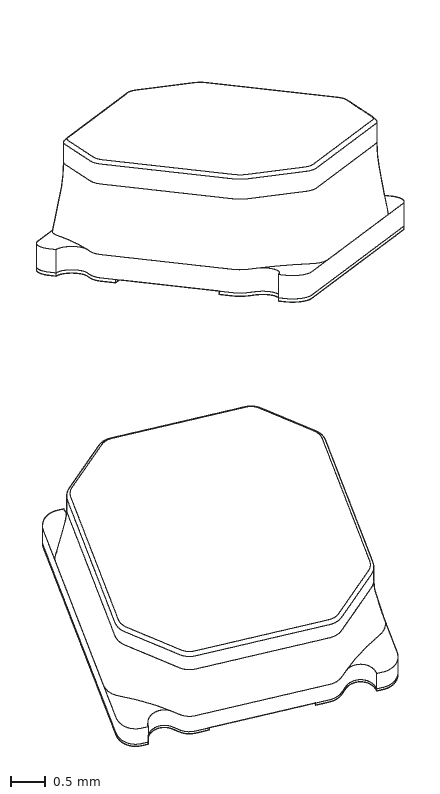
import cadquery as cq
import math

length = 4.2
total_height = 1.8

pad_height = 0.05
plate_top = 0.4
skirt_top = 1.455

cap_width = 3.855
corner_cut = 0.802
edge_radius = 0.295
top_chamfer = 0.05

flare_bend_height = 0.41
flare_steps = 5

plate_corner_radius = 0.295
notch_radius = 0.24

pad_width = 1.305

half_length = length / 2
cap_half = cap_width / 2
skirt_height = skirt_top - plate_top
diagonal = math.sqrt(0.5)

cut_x = cap_half - corner_cut
cut_y = half_length - corner_cut

notch_x = cut_x + notch_radius / diagonal
notch_end_x = notch_x - notch_radius * diagonal
notch_end_y = half_length - notch_radius * diagonal

side_end_y = cut_y - edge_radius * math.tan(math.pi / 8)
cut_low_x = cap_half - edge_radius * (1 - diagonal)

bend_x = (notch_end_x + cut_low_x) / 2
bend_y = cut_x + half_length - bend_x


def block(width, height, base_z):
    """Rectangular block over the full length in Y, centred on the Z axis."""
    return cq.Workplane("XY", origin=(0, 0, base_z)).rect(width, length).extrude(height)


def octagon(height, base_z):
    """Octagonal prism with rounded upright edges."""
    corner_points = [
        (cap_half, -cut_y), (cap_half, cut_y), (cut_x, half_length), (-cut_x, half_length),
        (-cap_half, cut_y), (-cap_half, -cut_y), (-cut_x, -half_length), (cut_x, -half_length),
    ]
    prism = cq.Workplane("XY", origin=(0, 0, base_z)).polyline(corner_points).close().extrude(height)
    return prism.edges("|Z").fillet(edge_radius)


def notch_cutter(height, base_z, sign_x, sign_y):
    """Cutter for one notch: its arc, and the short stretch of corner cut that leads into it."""
    arc_angle = 3 * math.pi / 8
    arc_middle_x = notch_x + notch_radius * math.cos(arc_angle)
    arc_middle_y = half_length - notch_radius * math.sin(arc_angle)
    return (
        cq.Workplane("XY", origin=(0, 0, base_z))
        .moveTo(sign_x * cut_x, sign_y * half_length)
        .lineTo(sign_x * notch_end_x, sign_y * notch_end_y)
        .threePointArc(
            (sign_x * arc_middle_x, sign_y * arc_middle_y),
            (sign_x * (notch_x + notch_radius), sign_y * half_length),
        )
        .close()
        .extrude(height)
    )


def notched_slab(height, base_z):
    """Square slab with rounded corners and a notch beside each of them."""
    slab = block(length, height, base_z).edges("|Z").fillet(plate_corner_radius)
    for sign_x in (-1, 1):
        for sign_y in (-1, 1):
            slab = slab.cut(notch_cutter(height, base_z, sign_x, sign_y))
    cut_edges = slab.edges("|Z").filter(lambda edge: math.isclose(abs(edge.Center().x), cut_x))
    return cut_edges.fillet(edge_radius)


def make_pad(sign_x):
    """Thin pad under one X end of the plate, following the plate outline."""
    end_block = block(pad_width, pad_height, 0).translate((sign_x * (half_length - pad_width / 2), 0, 0))
    return notched_slab(pad_height, 0).intersect(end_block)


def make_plate():
    """Base plate that carries the skirt."""
    return notched_slab(plate_top - pad_height, pad_height)


def flare_offset(drop):
    """Outward offset of the X side at a drop below the skirt top: a parabola, then its tangent."""
    slope = (half_length - cap_half) / (skirt_height - flare_bend_height / 2)
    if drop < flare_bend_height:
        return slope * drop**2 / (2 * flare_bend_height)
    return slope * (drop - flare_bend_height / 2)


def flare_section(drop):
    """Horizontal outline of the +X flare at a drop below the skirt top."""
    side_x = cap_half + flare_offset(drop)
    z = skirt_top - drop

    centre_x = side_x - edge_radius
    bend_distance = math.hypot(bend_x - centre_x, bend_y - side_end_y)
    bend_angle = math.atan2(bend_y - side_end_y, bend_x - centre_x)
    turn = bend_angle - math.acos(edge_radius / bend_distance)

    def point(x, y):
        return cq.Vector(x, y, z)

    def rounded_edge_point(angle, sign_y):
        x = centre_x + edge_radius * math.cos(angle)
        y = side_end_y + edge_radius * math.sin(angle)
        return point(x, sign_y * y)

    def corner_edges(sign_y):
        """Curve leaving the corner cut, and the rounded edge that joins it to the X side."""
        turn_end = rounded_edge_point(turn, sign_y)
        cut_curve = cq.Edge.makeBezier(
            [point(notch_end_x, sign_y * notch_end_y), point(bend_x, sign_y * bend_y), turn_end]
        )
        rounded_edge = cq.Edge.makeThreePointArc(
            turn_end, rounded_edge_point(turn / 2, sign_y), point(side_x, sign_y * side_end_y)
        )
        return [cut_curve, rounded_edge]

    side = cq.Edge.makeLine(point(side_x, side_end_y), point(side_x, -side_end_y))
    inner = cq.Edge.makeLine(point(notch_end_x, -notch_end_y), point(notch_end_x, notch_end_y))
    return cq.Wire.assembleEdges([*corner_edges(1), side, *reversed(corner_edges(-1)), inner])


def make_skirt():
    """Straight middle between the notches, with a flare lofted onto each X end."""
    middle = octagon(skirt_height, plate_top).intersect(block(2 * notch_end_x, skirt_height, plate_top))
    drops = [skirt_height * step / flare_steps for step in range(flare_steps + 1)]
    flare = cq.Workplane(cq.Solid.makeLoft([flare_section(drop) for drop in drops]))
    return middle.union(flare).union(flare.mirror("YZ"))


def make_cap():
    """Octagonal cap with a chamfered top rim."""
    return octagon(total_height - skirt_top, skirt_top).faces(">Z").chamfer(top_chamfer)


pads = [make_pad(sign_x).solids().val() for sign_x in (-1, 1)]
plate = make_plate().solids().val()
skirt = make_skirt().solids().val()
cap = make_cap().solids().val()

result = cq.Compound.makeCompound([*pads, plate, skirt, cap])